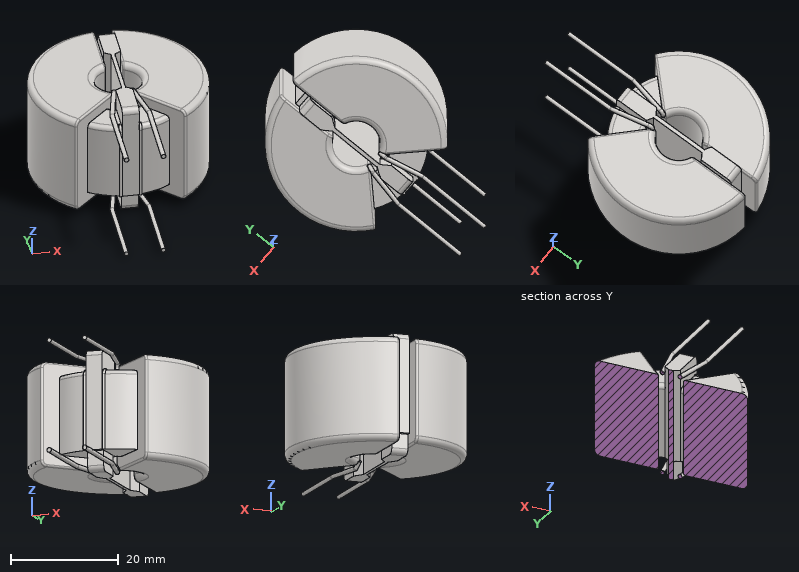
import math

import cadquery as cq

WINDING_RADIUS = 17.0
WINDING_BORE_RADIUS = 4.45
WINDING_HEIGHT = 20.0
WINDING_ROUND = 1.2
CUT_EDGE_ROUND = 0.4
CUT_ANGLE = 45.0
CUT_OFFSET = 2.28

CORE_RADIUS = 13.4
CORE_BORE_RADIUS = 6.7
CORE_HEIGHT = 15.2
CORE_ROUND = 0.9

DIVIDER_WIDTH = 3.2
DIVIDER_HEIGHT = 23.0
DIVIDER_ROUND = 1.1
WEB_WIDTH = 0.75
UPPER_HALF_LENGTH = CORE_RADIUS
UPPER_WEB_END = 5.65
UPPER_PAD_START = 6.4
LOWER_HALF_LENGTH = 12.5
LOWER_WEB_END = 5.46
LOWER_PAD_START = 7.25

BEAD_RADIUS = 0.28

WIRE_RADIUS = 0.44
WIRE_Z = 10.45
WIRE_X = 3.5
WIRE_END_Y = -28.43
WIRE_ELBOW_Y = -13.25
WIRE_BEND_X = 1.85
WIRE_BEND_Y = -5.7
UPPER_BEND_RADIUS = 0.8
UPPER_TAIL = 0.5
LOWER_TAIL_REACH = 1.25


def ring(outer_radius, inner_radius, height):
    return cq.Workplane("XY").circle(outer_radius).circle(inner_radius).extrude(height / 2, both=True)


def winding_half():
    """Half of the winding on the +X side, rounded along both cut faces."""
    angle = math.radians(CUT_ANGLE)
    reach = 2 * WINDING_RADIUS
    slot_x = DIVIDER_WIDTH / 2
    cut_y_at_axis = -CUT_OFFSET / math.cos(angle)
    cut_slope = -math.tan(angle)
    sector = (
        cq.Workplane("XY")
        .polyline([
            (slot_x, 0),
            (0, 0),
            (0, cut_y_at_axis),
            (reach, cut_y_at_axis + cut_slope * reach),
            (reach, reach),
            (slot_x, reach),
        ])
        .close()
        .extrude(WINDING_HEIGHT, both=True)
    )
    body = ring(WINDING_RADIUS, WINDING_BORE_RADIUS, WINDING_HEIGHT).edges().fillet(WINDING_ROUND)
    body = body.intersect(sector)
    cut_normal = cq.Vector(-math.sin(angle), -math.cos(angle), 0)
    rear_cut = body.faces(cq.selectors.ParallelDirSelector(cq.Vector(1, 0, 0)))
    front_cut = body.faces(cq.selectors.ParallelDirSelector(cut_normal))
    return rear_cut.edges().add(front_cut.edges()).fillet(CUT_EDGE_ROUND)


def core():
    """Ring with rounded top edges and plain bottom edges."""
    return ring(CORE_RADIUS, CORE_BORE_RADIUS, CORE_HEIGHT).faces(">Z").edges().fillet(CORE_ROUND)


def divider_section(half_length, pad_start, web_end, bottom_z, top_z):
    """Bar with two wide pads joined by a thin web, between two heights."""
    pad_x = DIVIDER_WIDTH / 2
    web_x = WEB_WIDTH / 2
    return (
        cq.Workplane("XY", origin=(0, 0, bottom_z))
        .polyline([
            (pad_x, half_length),
            (pad_x, pad_start),
            (web_x, web_end),
            (web_x, -web_end),
            (pad_x, -pad_start),
            (pad_x, -half_length),
            (-pad_x, -half_length),
            (-pad_x, -pad_start),
            (-web_x, -web_end),
            (-web_x, web_end),
            (-pad_x, pad_start),
            (-pad_x, half_length),
        ])
        .close()
        .extrude(top_z - bottom_z)
    )


def divider():
    """Divider whose lower part, below the core, is shorter than its upper part."""
    step_z = -CORE_HEIGHT / 2
    end_z = DIVIDER_HEIGHT / 2
    upper = divider_section(UPPER_HALF_LENGTH, UPPER_PAD_START, UPPER_WEB_END, step_z, end_z)
    lower = divider_section(LOWER_HALF_LENGTH, LOWER_PAD_START, LOWER_WEB_END, -end_z, step_z)
    upper = upper.faces(">Z").edges("<Y or >Y").fillet(DIVIDER_ROUND)
    lower = lower.faces("<Z").edges("<Y or >Y").fillet(DIVIDER_ROUND)
    return upper.union(lower)


def bead(side):
    """Bead that climbs the core wall beside the divider and follows its rounded top edge."""
    x = side * (DIVIDER_WIDTH / 2 + BEAD_RADIUS)
    wall_y = -math.sqrt(CORE_RADIUS**2 - x**2)
    bottom_z = -CORE_HEIGHT / 2
    top_z = CORE_HEIGHT / 2
    bend = CORE_ROUND * math.sqrt(0.5)
    path = (
        cq.Workplane("YZ", origin=(x, 0, 0))
        .moveTo(wall_y, bottom_z)
        .lineTo(wall_y, top_z - CORE_ROUND)
        .threePointArc(
            (wall_y + CORE_ROUND - bend, top_z - CORE_ROUND + bend),
            (wall_y + CORE_ROUND, top_z),
        )
    )
    return cq.Workplane("XY", origin=(x, wall_y, bottom_z)).circle(BEAD_RADIUS).sweep(path)


def rod(start, end):
    direction = end - start
    return cq.Workplane(cq.Solid.makeCylinder(WIRE_RADIUS, direction.Length, start, direction))


def ball(center):
    return cq.Workplane("XY", origin=center.toTuple()).sphere(WIRE_RADIUS)


def wire_run(side, z):
    """Straight lead and its slanted stretch; also returns the bend point and inward direction."""
    tip = cq.Vector(side * WIRE_X, WIRE_END_Y, z)
    elbow = cq.Vector(side * WIRE_X, WIRE_ELBOW_Y, z)
    bend = cq.Vector(side * WIRE_BEND_X, WIRE_BEND_Y, z)
    run = rod(tip, elbow).union(ball(elbow)).union(rod(elbow, bend))
    return run, bend, (bend - elbow).normalized()


def upper_wire(side):
    """Lead above the winding, curving down into it."""
    run, bend, inward = wire_run(side, WIRE_Z)
    down = cq.Vector(0, 0, -1)
    diagonal = math.sqrt(0.5)
    arc_middle = bend + inward * (UPPER_BEND_RADIUS * diagonal) + down * (UPPER_BEND_RADIUS * (1 - diagonal))
    arc_end = bend + (inward + down) * UPPER_BEND_RADIUS
    arc = cq.Edge.makeThreePointArc(bend, arc_middle, arc_end)
    section = cq.Workplane(cq.Plane(origin=bend, normal=inward)).circle(WIRE_RADIUS)
    curve = section.sweep(cq.Workplane(cq.Wire.assembleEdges([arc])))
    return run.union(curve).union(rod(arc_end, arc_end + down * UPPER_TAIL))


def lower_wire(side):
    """Lead below the winding, turning up into it at 45 degrees."""
    run, bend, inward = wire_run(side, -WIRE_Z)
    tail_end = bend + (inward + cq.Vector(0, 0, 1)) * LOWER_TAIL_REACH
    return run.union(ball(bend)).union(rod(bend, tail_end))


right_half = winding_half()
result = core().union(divider()).union(right_half).union(right_half.mirror("YZ"))
for side in (-1, 1):
    result = result.union(bead(side)).union(upper_wire(side)).union(lower_wire(side))